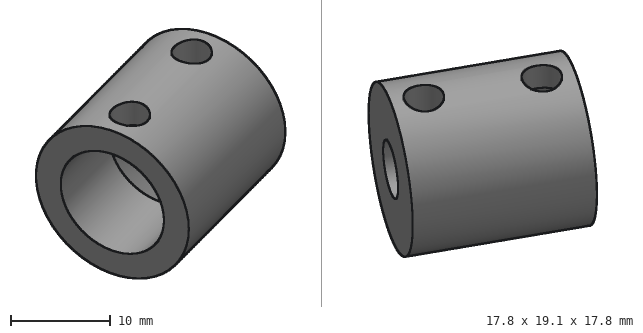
import cadquery as cq
import math

outer_diameter = 17.78
length = 19.05

wide_bore_diameter = 12.0
narrow_bore_diameter = 6.0
wide_bore_depth = length / 2
drill_point_angle = 118.0

screw_hole_diameter = 4.05
screw_hole_end_distance = 3.43

front_y = -length / 2
back_y = length / 2


def make_sleeve():
    """Sleeve with its stepped, cone-bottomed bore, revolved about Y."""
    outer_radius = outer_diameter / 2
    wide_radius = wide_bore_diameter / 2
    narrow_radius = narrow_bore_diameter / 2
    cone_start_y = front_y + wide_bore_depth
    cone_length = (wide_radius - narrow_radius) / math.tan(math.radians(drill_point_angle / 2))
    profile = [
        (outer_radius, front_y),
        (outer_radius, back_y),
        (narrow_radius, back_y),
        (narrow_radius, cone_start_y + cone_length),
        (wide_radius, cone_start_y),
        (wide_radius, front_y),
    ]
    return cq.Workplane("XY").polyline(profile).close().revolve(360, (0, 0, 0), (0, 1, 0))


def make_screw_hole(y):
    """Radial cutter from the bore axis up to the top of the sleeve."""
    return (
        cq.Workplane("XY")
        .center(0, y)
        .circle(screw_hole_diameter / 2)
        .extrude(outer_diameter / 2)
    )


result = make_sleeve()
for hole_y in (front_y + screw_hole_end_distance, back_y - screw_hole_end_distance):
    result = result.cut(make_screw_hole(hole_y))